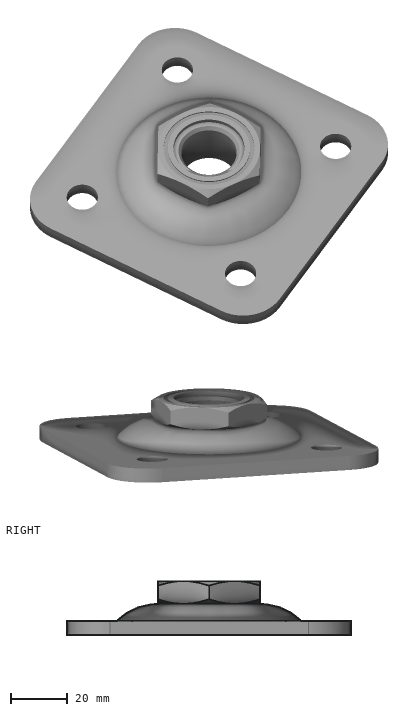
import cadquery as cq
import math

plate_side = 100
plate_thickness = 5
corner_radius = 15
mount_hole_diameter = 11
mount_hole_spacing = 65

dome_base_diameter = 65
dome_height = 6

nut_width = 36
nut_sides = 6
nut_height = 8
nut_chamfer_angle = 30

groove_outer_diameter = 32
groove_inner_diameter = 29
groove_depth = 0.5

counterbore_diameter = 25
counterbore_depth = 1.5
lead_in_diameter = 21.5
lead_in_depth = 1.2
bore_diameter = 19.5

dome_top_diameter = nut_width

dome_top_z = plate_thickness + dome_height
total_height = dome_top_z + nut_height


def make_plate():
    """Square plate with rounded corners and four mounting holes."""
    return (
        cq.Workplane("XY")
        .rect(plate_side, plate_side)
        .extrude(plate_thickness)
        .edges("|Z")
        .fillet(corner_radius)
        .faces(">Z")
        .workplane()
        .rect(mount_hole_spacing, mount_hole_spacing, forConstruction=True)
        .vertices()
        .hole(mount_hole_diameter)
    )


def make_dome():
    """Flat-topped dome whose rounded flank runs level into its top."""
    base_radius = dome_base_diameter / 2
    top_radius = dome_top_diameter / 2
    flank_width = base_radius - top_radius
    flank_radius = (flank_width**2 + dome_height**2) / (2 * dome_height)
    half_flank_angle = math.asin(flank_width / flank_radius) / 2
    flank_middle = (
        top_radius + flank_radius * math.sin(half_flank_angle),
        dome_top_z - flank_radius * (1 - math.cos(half_flank_angle)),
    )
    return (
        cq.Workplane("XZ")
        .moveTo(0, plate_thickness)
        .lineTo(base_radius, plate_thickness)
        .threePointArc(flank_middle, (top_radius, dome_top_z))
        .lineTo(0, dome_top_z)
        .close()
        .revolve(axisStart=(0, 0), axisEnd=(0, 1))
    )


def make_nut():
    """Hexagonal nut with corners chamfered at both ends."""
    face_radius = nut_width / 2
    corner_reach = face_radius / math.cos(math.pi / nut_sides)
    chamfer_drop = (corner_reach - face_radius) * math.tan(math.radians(nut_chamfer_angle))
    hexagon = (
        cq.Workplane("XY", origin=(0, 0, dome_top_z))
        .polygon(nut_sides, 2 * corner_reach)
        .extrude(nut_height)
    )
    chamfer_envelope = (
        cq.Workplane("XZ")
        .moveTo(0, dome_top_z)
        .lineTo(face_radius, dome_top_z)
        .lineTo(corner_reach, dome_top_z + chamfer_drop)
        .lineTo(corner_reach, total_height - chamfer_drop)
        .lineTo(face_radius, total_height)
        .lineTo(0, total_height)
        .close()
        .revolve(axisStart=(0, 0), axisEnd=(0, 1))
    )
    return hexagon.intersect(chamfer_envelope)


def make_groove():
    """Ring to cut from the top face of the nut."""
    return (
        cq.Workplane("XY", origin=(0, 0, total_height - groove_depth))
        .circle(groove_outer_diameter / 2)
        .circle(groove_inner_diameter / 2)
        .extrude(groove_depth)
    )


def make_bore():
    """Through bore with a conical lead-in below a counterbore."""
    seat_z = total_height - counterbore_depth
    return (
        cq.Workplane("XZ")
        .moveTo(0, 0)
        .lineTo(bore_diameter / 2, 0)
        .lineTo(bore_diameter / 2, seat_z - lead_in_depth)
        .lineTo(lead_in_diameter / 2, seat_z)
        .lineTo(counterbore_diameter / 2, seat_z)
        .lineTo(counterbore_diameter / 2, total_height)
        .lineTo(0, total_height)
        .close()
        .revolve(axisStart=(0, 0), axisEnd=(0, 1))
    )


result = (
    make_plate()
    .union(make_dome())
    .union(make_nut())
    .cut(make_groove())
    .cut(make_bore())
)